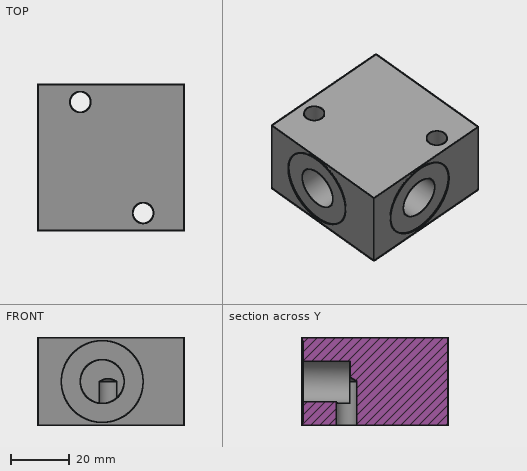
import cadquery as cq
import math

side = 50.0
height = 30.0
half_side = side / 2
half_height = height / 2

port_offset = 3.0
spot_face_diameter = 28.0
spot_face_depth = 0.4
bore_diameter = 15.0
bore_depth = 16.4

drill_diameter = 7.0
drill_point_angle = 118.0
front_drill_centre = (-1.0, -10.4)
left_drill_centre = (-9.75, 0.0)

mount_diameter = 7.0
mount_centres = [(-10.5, 19.0), (11.0, -19.0)]


def side_port(face):
    """Cutter for one port, sunk inward from the origin of the given face plane."""
    spot_face = cq.Workplane(face).circle(spot_face_diameter / 2).extrude(-spot_face_depth)
    bore = cq.Workplane(face).circle(bore_diameter / 2).extrude(-bore_depth)
    return spot_face.union(bore)


def bottom_drilling(centre):
    """Cutter drilled up from the bottom to mid height, ending in a conical point."""
    radius = drill_diameter / 2
    point_height = radius / math.tan(math.radians(drill_point_angle / 2))
    half_profile = (
        cq.Workplane("XZ")
        .moveTo(0, -half_height)
        .lineTo(radius, -half_height)
        .lineTo(radius, 0)
        .lineTo(0, point_height)
        .close()
    )
    drill = half_profile.revolve(360, (0, 0), (0, 1))
    return drill.translate((*centre, 0))


block = cq.Workplane("XY").box(side, side, height)

front_face = cq.Plane(origin=(-port_offset, -half_side, 0), xDir=(1, 0, 0), normal=(0, -1, 0))
left_face = cq.Plane(origin=(-half_side, port_offset, 0), xDir=(0, -1, 0), normal=(-1, 0, 0))
for face in (front_face, left_face):
    block = block.cut(side_port(face))

for centre in (front_drill_centre, left_drill_centre):
    block = block.cut(bottom_drilling(centre))

mount_holes = (
    cq.Workplane("XY", origin=(0, 0, -half_height))
    .pushPoints(mount_centres)
    .circle(mount_diameter / 2)
    .extrude(height)
)
result = block.cut(mount_holes)